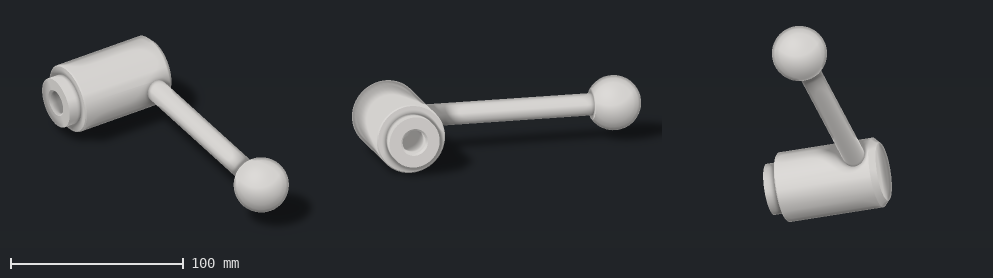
import cadquery as cq
import math

total_length = 170.5
hub_diameter = 41.0
hub_radius = hub_diameter / 2
ball_diameter = 32.0
ball_radius = ball_diameter / 2
ball_center_x = total_length - hub_radius - ball_radius
ball_flat_offset = 13.1

hub_back_y = 12.0
hub_front_y = -48.6
rear_chamfer = 3.4
front_chamfer = 0.7
total_depth = 72.5
boss_diameter = 30.0
boss_front_y = ball_radius - total_depth

rod_diameter = 13.0

hole_diameter = 13.8
hole_mouth_diameter = 16.0
hole_depth = 34.1
drill_point_angle = 118.0


def make_hub():
    hub_length = hub_back_y - hub_front_y
    hub = (
        cq.Workplane("XZ", origin=(0, hub_back_y, 0))
        .circle(hub_radius)
        .extrude(hub_length)
    )
    hub = hub.faces(">Y").chamfer(rear_chamfer)
    hub = hub.faces("<Y").chamfer(front_chamfer)
    boss = (
        cq.Workplane("XZ", origin=(0, hub_front_y, 0))
        .circle(boss_diameter / 2)
        .extrude(hub_front_y - boss_front_y)
    )
    return hub.union(boss)


def make_hole():
    """Revolved drill profile with a countersunk mouth and a drill point."""
    radius = hole_diameter / 2
    mouth_radius = hole_mouth_diameter / 2
    countersink_depth = mouth_radius - radius
    tip_length = radius / math.tan(math.radians(drill_point_angle / 2))
    bottom_y = boss_front_y + hole_depth
    return (
        cq.Workplane("XY")
        .moveTo(0, boss_front_y)
        .lineTo(mouth_radius, boss_front_y)
        .lineTo(radius, boss_front_y + countersink_depth)
        .lineTo(radius, bottom_y)
        .lineTo(0, bottom_y + tip_length)
        .close()
        .revolve(360, (0, 0, 0), (0, 1, 0))
    )


def make_lever():
    """Rod from the hub axis to the ball centre."""
    return cq.Workplane("YZ").circle(rod_diameter / 2).extrude(ball_center_x)


def make_ball():
    """Sphere about the lever axis, cut flat where the rod enters."""
    flat_x = ball_center_x - ball_flat_offset
    flat_radius = math.sqrt(ball_radius**2 - ball_flat_offset**2)
    return (
        cq.Workplane("XY")
        .moveTo(flat_x, 0)
        .lineTo(flat_x, flat_radius)
        .threePointArc((ball_center_x, ball_radius), (ball_center_x + ball_radius, 0))
        .close()
        .revolve(360, (0, 0, 0), (1, 0, 0))
    )


result = make_hub().union(make_lever()).union(make_ball()).cut(make_hole())